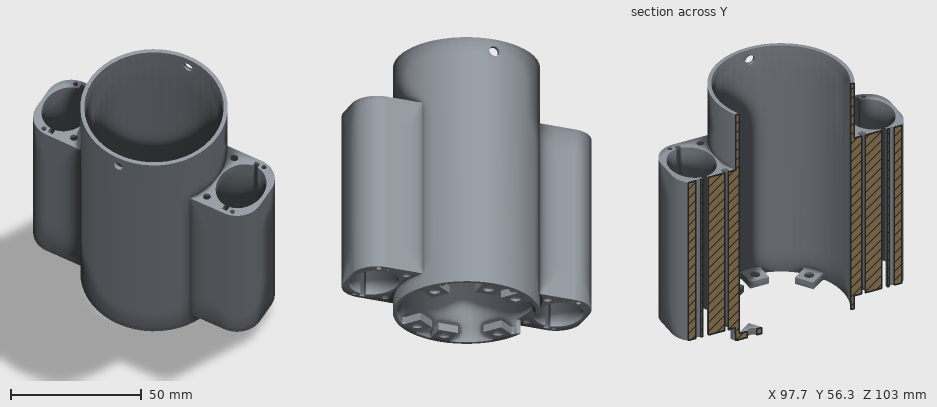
import cadquery as cq
import math

tube_height = 103
tube_diameter = 56.3
bore_diameter = 53.3
tube_radius = tube_diameter / 2
bore_radius = bore_diameter / 2
wall_middle_radius = (tube_radius + bore_radius) / 2

rim_hole_diameter = 4.0
rim_hole_z = tube_height - 4.9

overall_width = 97.7
pod_depth = 29.1
pod_corner_radius = 10.0
pod_bottom_z = 5.9
pod_height = 72.0

channel_center_x = 38.1
channel_width = 18.5
channel_depth = 22.0
key_slot_width = 2.2
key_slot_span = 26.2

inner_screw_diameter = 3.0
inner_screw_x = 29.1
inner_screw_y = 10.7
outer_screw_diameter = 2.0
outer_screw_x = 41.2
outer_screw_y = 12.4

filleted_tab_angles = (35, 90, 125, 215, 305)
plain_tab_angle = 270
tab_width = 8.0
tab_thickness = 3.0
tab_inner_radius = 18.3
tab_hole_radius = 22.4
tab_hole_diameter = 4.0
tab_root_fillet = 1

window_width = 19.8


def make_pod():
    """Solid +X pod, reaching inward to the tube axis."""
    half_width = overall_width / 2
    return (
        cq.Workplane("XY", origin=(0, 0, pod_bottom_z))
        .rect(half_width, pod_depth)
        .extrude(pod_height)
        .translate((half_width / 2, 0, 0))
        .edges("|Z and >X")
        .fillet(pod_corner_radius)
    )


def make_pod_cutter():
    """Channel, key slots and screw holes of the +X pod."""
    plane = cq.Workplane("XY", origin=(0, 0, pod_bottom_z))
    channel = (
        plane.center(channel_center_x, 0)
        .ellipse(channel_width / 2, channel_depth / 2)
        .extrude(pod_height)
    )
    key_slots = plane.center(channel_center_x, 0).rect(key_slot_width, key_slot_span).extrude(pod_height)
    cutter = channel.union(key_slots)
    for x, y, diameter in (
        (inner_screw_x, inner_screw_y, inner_screw_diameter),
        (outer_screw_x, outer_screw_y, outer_screw_diameter),
    ):
        holes = plane.pushPoints([(x, y), (x, -y)]).circle(diameter / 2).extrude(pod_height)
        cutter = cutter.union(holes)
    return cutter


def make_tab(angle):
    """Drilled tab pointing at the axis, rooted inside the tube wall."""
    length = wall_middle_radius - tab_inner_radius
    block = (
        cq.Workplane("XY")
        .center(tab_inner_radius + length / 2, 0)
        .rect(length, tab_width)
        .extrude(tab_thickness)
    )
    wall_limit = cq.Workplane("XY").circle(wall_middle_radius).extrude(tab_thickness)
    hole = cq.Workplane("XY").center(tab_hole_radius, 0).circle(tab_hole_diameter / 2).extrude(tab_thickness)
    return block.intersect(wall_limit).cut(hole).rotate((0, 0, 0), (0, 0, 1), angle)


pod = make_pod().cut(make_pod_cutter())
bore = cq.Workplane("XY").circle(bore_radius).extrude(tube_height)
result = cq.Workplane("XY").circle(tube_radius).extrude(tube_height)
result = result.union(pod).union(pod.mirror("YZ")).cut(bore)

rim_holes = (
    cq.Workplane("XZ", origin=(0, 0, rim_hole_z))
    .circle(rim_hole_diameter / 2)
    .extrude(tube_radius, both=True)
)

window = (
    cq.Workplane("XY")
    .center(-tube_radius / 2, 0)
    .rect(tube_radius, window_width)
    .extrude(pod_bottom_z)
)

result = result.cut(rim_holes).cut(window)

for tab_angle in filleted_tab_angles:
    result = result.union(make_tab(tab_angle))

    for side in (-1, 1):
        corner_angle = math.radians(tab_angle) + side * math.asin(tab_width / 2 / bore_radius)
        corner = (
            bore_radius * math.cos(corner_angle),
            bore_radius * math.sin(corner_angle),
            tab_thickness / 2,
        )
        result = result.edges(cq.NearestToPointSelector(corner)).fillet(tab_root_fillet)
result = result.union(make_tab(plain_tab_angle))